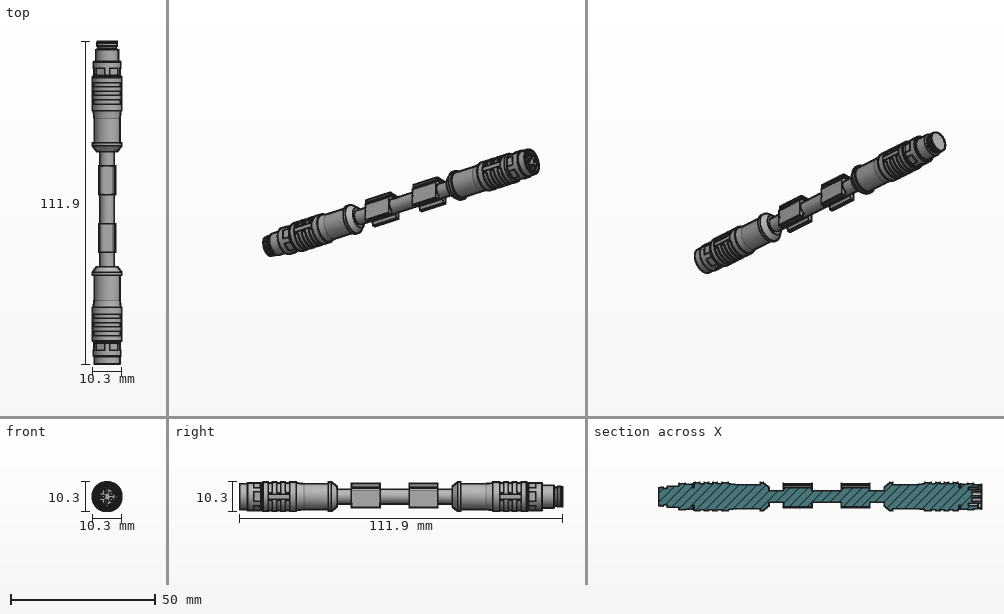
import cadquery as cq
import math

LENGTH = 111.9
HALF_LENGTH = LENGTH / 2
CABLE_DIA = 5.1

GRIP_DIA = 10.3
PIN_GRIP_FRONT_DIA = 10.0
SOCKET_GRIP_FRONT_DIA = 9.1
GRIP_FRONT_TAPER = 0.5
GRIP_LENGTH = 12.0
SHOULDER_DIA = 9.6
BOOT_DIA = 9.1
BOOT_START = 14.4
FLANGE_START = 23.0
FLANGE_END = 24.1
TAIL_DIA = 7.2
HOUSING_LENGTH = 26.1
PIN_HOUSING_OFFSET = 12.2
SOCKET_HOUSING_OFFSET = 7.7

GROOVE_COUNT = 3
GROOVE_WIDTH = 1.5
GROOVE_PITCH = 3.0
GROOVE_START = 2.1
GROOVE_DEPTH = 0.3
GROOVE_END_RADIUS = 0.6
BRIDGE_WIDTH = 2.5
POCKET_WIDTH = 1.7
POCKET_FLOOR = 5.0

NUT_DIA = 9.6
NUT_GAP = 0.5
NUT_CHAMFER = 0.28
NECK_DIA = 6.9
FLAT_COUNT = 6
FLAT_DISTANCE = BOOT_DIA / 2
FLAT_LENGTH = 2.5

PIN_NUT_START = 6.9
NOSE_DIA = 6.9
BEAD_DIA = 7.2
BEAD_START = 0.8
BEAD_END = 1.9
BEAD_TAPER = 0.3
NOSE_GROOVE_DIA = 6.5
PLUG_START = 2.7
PLUG_TAPER = 0.3
PLUG_DIA = 8.0

SOCKET_NUT_START = 2.6
RIM_DIA = 8.8
RIM_CHAMFER = 0.1
MOUTH_DIA = 8.0
STEP_DIA = 7.2
MOUTH_DEPTH = 1.1
STEP_TAPER = 0.2
BORE_DIA = 6.9
BORE_DEPTH = 4.5
INSERT_DIA = 5.7
CONTACT_DIA = 1.1
CONTACT_DEPTH = 3.4
CONTACT_SITES = [(-1.3, 0), (-0.3, 1.7), (-0.3, -1.7), (1.5, 1.0), (1.5, -1.0)]
KEYWAY_DEPTH = 0.9
MAIN_KEYWAY_DIA = 1.3
SIDE_KEYWAY_DIA = 1.0
SIDE_KEYWAY_ANGLE = 40.0

CLIP_LENGTH = 10.0
CLIP_STARTS = (-17.2, 2.8)
CLIP_WIDTH = 5.9
CLIP_HALF_WIDTH = CLIP_WIDTH / 2
CLIP_BOTTOM = -3.9
CLIP_TOP = 4.6
RAIL_FILLET = 0.73
RAIL_UNDERSIDE = 3.2
SADDLE_TOP = 2.9
SADDLE_FILLET = 0.73
RAIL_HALF_WIDTH = 2.6
RAIL_NECK_HALF_WIDTH = 2.1
FOOT_CHAMFER = 0.28
LABEL_SLOT_WIDTH = 3.1
LABEL_SLOT_BOTTOM = 3.2
LABEL_SLOT_TOP = 4.0
OPENING_OUTER_HALF_WIDTH = 1.6
OPENING_INNER_HALF_WIDTH = 1.1


def turned(stations, end_y, inward):
    """Revolve (distance from end_y, diameter) stations around Y; inward is the sign of travel."""
    outline = [(dia / 2, end_y + inward * distance) for distance, dia in stations]
    axis_start = (0, outline[0][1])
    axis_end = (0, outline[-1][1])
    profile = cq.Workplane("XY").polyline([axis_start, *outline, axis_end]).close()
    return profile.revolve(360, (0, 0, 0), (0, 1, 0))


def block(size_x, size_y, size_z, center):
    return cq.Workplane("XY").box(size_x, size_y, size_z).translate(center)


def rod(x, z, dia, start_y, length):
    """Cylinder parallel to Y, running from start_y towards +Y."""
    plane = cq.Plane(origin=(x, start_y, z), xDir=(1, 0, 0), normal=(0, 1, 0))
    return cq.Workplane(plane).circle(dia / 2).extrude(length)


def housing(front_dia, front_y, inward):
    body = turned(
        [
            (0, front_dia),
            (GRIP_FRONT_TAPER, GRIP_DIA),
            (GRIP_LENGTH, GRIP_DIA),
            (GRIP_LENGTH, SHOULDER_DIA),
            (BOOT_START, BOOT_DIA),
            (FLANGE_START, BOOT_DIA),
            (FLANGE_START, GRIP_DIA),
            (FLANGE_END, GRIP_DIA),
            (HOUSING_LENGTH, TAIL_DIA),
        ],
        front_y,
        inward,
    )
    grip_core = rod(0, 0, GRIP_DIA - 2 * GROOVE_DEPTH, -LENGTH, 2 * LENGTH)
    groove_height = GRIP_DIA / 2
    for index in range(GROOVE_COUNT):
        groove_y = front_y + inward * (GROOVE_START + GROOVE_WIDTH / 2 + index * GROOVE_PITCH)
        for side in (-1, 1):
            groove_z = side * (BRIDGE_WIDTH + groove_height) / 2
            groove = block(GRIP_DIA, GROOVE_WIDTH, groove_height, (0, groove_y, groove_z))
            body = body.cut(groove.edges("|X").fillet(GROOVE_END_RADIUS).cut(grip_core))

    pocket_length = GROOVE_WIDTH + (GROOVE_COUNT - 1) * GROOVE_PITCH
    pocket_y = front_y + inward * (GROOVE_START + pocket_length / 2)
    for side in (-1, 1):
        pocket_x = side * (POCKET_FLOOR + GRIP_DIA / 2)
        body = body.cut(block(GRIP_DIA, pocket_length, POCKET_WIDTH, (pocket_x, pocket_y, 0)))
    return body


def coupling_nut(start, housing_offset, end_y, inward):
    """Hexagon-backed nut between a start distance and the housing, plus the neck behind it."""
    rear = housing_offset - NUT_GAP
    nut = turned(
        [
            (start, BOOT_DIA),
            (start + NUT_CHAMFER, NUT_DIA),
            (rear, NUT_DIA),
            (rear, NECK_DIA),
            (housing_offset, NECK_DIA),
        ],
        end_y,
        inward,
    )
    flat_y = end_y + inward * (rear - FLAT_LENGTH / 2)
    flat_x = FLAT_DISTANCE + NUT_DIA / 2
    for index in range(FLAT_COUNT):
        flat = block(NUT_DIA, FLAT_LENGTH, NUT_DIA, (flat_x, flat_y, 0))
        nut = nut.cut(flat.rotate((0, 0, 0), (0, 1, 0), index * 360 / FLAT_COUNT))
    return nut


def pin_connector():
    end_y = HALF_LENGTH
    inward = -1
    nose = turned(
        [
            (0, NOSE_DIA),
            (BEAD_START - BEAD_TAPER, NOSE_DIA),
            (BEAD_START, BEAD_DIA),
            (BEAD_END - BEAD_TAPER, BEAD_DIA),
            (BEAD_END, NOSE_GROOVE_DIA),
            (PLUG_START, NOSE_GROOVE_DIA),
            (PLUG_START + PLUG_TAPER, PLUG_DIA),
            (PIN_NUT_START, PLUG_DIA),
        ],
        end_y,
        inward,
    )
    nut = coupling_nut(PIN_NUT_START, PIN_HOUSING_OFFSET, end_y, inward)
    grip = housing(PIN_GRIP_FRONT_DIA, end_y + inward * PIN_HOUSING_OFFSET, inward)
    return nose.union(nut).union(grip)


def contact_insert(face_y, length):
    """Contact carrier with five contact holes and three keyways in its rim."""
    insert = rod(0, 0, INSERT_DIA, face_y, length)
    for x, z in CONTACT_SITES:
        insert = insert.cut(rod(x, z, CONTACT_DIA, face_y, CONTACT_DEPTH))
    keyways = [
        (0, MAIN_KEYWAY_DIA),
        (SIDE_KEYWAY_ANGLE, SIDE_KEYWAY_DIA),
        (-SIDE_KEYWAY_ANGLE, SIDE_KEYWAY_DIA),
    ]
    for angle, dia in keyways:
        x = -INSERT_DIA / 2 * math.cos(math.radians(angle))
        z = INSERT_DIA / 2 * math.sin(math.radians(angle))
        insert = insert.cut(rod(x, z, dia, face_y, KEYWAY_DEPTH))
    return insert


def socket_connector():
    end_y = -HALF_LENGTH
    inward = 1
    sleeve = turned([(0, RIM_DIA), (RIM_CHAMFER, BOOT_DIA), (SOCKET_NUT_START, BOOT_DIA)], end_y, inward)
    nut = coupling_nut(SOCKET_NUT_START, SOCKET_HOUSING_OFFSET, end_y, inward)
    grip = housing(SOCKET_GRIP_FRONT_DIA, end_y + inward * SOCKET_HOUSING_OFFSET, inward)
    body = sleeve.union(nut).union(grip)
    mouth = turned(
        [
            (0, MOUTH_DIA),
            (MOUTH_DEPTH, MOUTH_DIA),
            (MOUTH_DEPTH, STEP_DIA),
            (MOUTH_DEPTH + STEP_TAPER, BORE_DIA),
            (BORE_DEPTH, BORE_DIA),
        ],
        end_y,
        inward,
    )
    return body.cut(mouth).union(contact_insert(end_y, BORE_DEPTH))


def marker_clip(start_y):
    rail_fillet_end = (RAIL_HALF_WIDTH, CLIP_TOP - RAIL_FILLET)
    saddle_fillet_end = (CLIP_HALF_WIDTH, SADDLE_TOP - SADDLE_FILLET)
    right_half = (
        cq.Workplane("XZ", origin=(0, start_y, 0))
        .moveTo(0, CLIP_TOP)
        .lineTo(RAIL_HALF_WIDTH - RAIL_FILLET, CLIP_TOP)
        .tangentArcPoint(rail_fillet_end, relative=False)
        .lineTo(RAIL_HALF_WIDTH, RAIL_UNDERSIDE)
        .lineTo(RAIL_NECK_HALF_WIDTH, RAIL_UNDERSIDE)
        .lineTo(RAIL_NECK_HALF_WIDTH, SADDLE_TOP)
        .lineTo(CLIP_HALF_WIDTH - SADDLE_FILLET, SADDLE_TOP)
        .tangentArcPoint(saddle_fillet_end, relative=False)
        .lineTo(CLIP_HALF_WIDTH, CLIP_BOTTOM + FOOT_CHAMFER)
        .lineTo(CLIP_HALF_WIDTH - FOOT_CHAMFER, CLIP_BOTTOM)
        .lineTo(OPENING_OUTER_HALF_WIDTH, CLIP_BOTTOM)
        .lineTo(OPENING_INNER_HALF_WIDTH, -CABLE_DIA / 2)
        .lineTo(OPENING_INNER_HALF_WIDTH, 0)
        .lineTo(0, 0)
        .close()
        .extrude(-CLIP_LENGTH)
    )
    clip = right_half.union(right_half.mirror("YZ"))
    slot_height = LABEL_SLOT_TOP - LABEL_SLOT_BOTTOM
    slot_center = (0, start_y + CLIP_LENGTH / 2, LABEL_SLOT_BOTTOM + slot_height / 2)
    return clip.cut(block(LABEL_SLOT_WIDTH, CLIP_LENGTH, slot_height, slot_center))


cable_start = -HALF_LENGTH + SOCKET_HOUSING_OFFSET + HOUSING_LENGTH
cable_end = HALF_LENGTH - PIN_HOUSING_OFFSET - HOUSING_LENGTH
result = rod(0, 0, CABLE_DIA, cable_start, cable_end - cable_start)
result = result.union(pin_connector()).union(socket_connector())
for clip_start in CLIP_STARTS:
    result = result.union(marker_clip(clip_start))